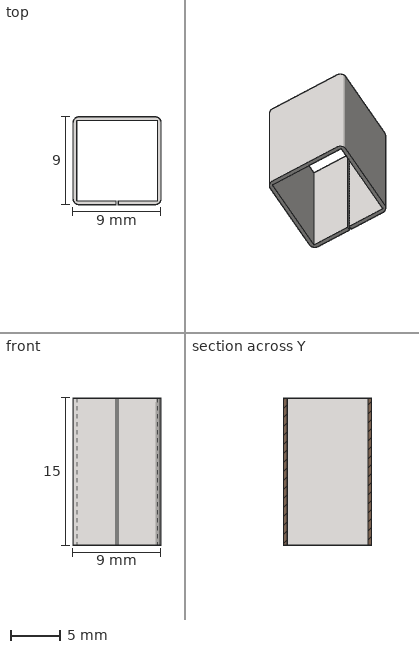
import cadquery as cq

side = 9.0
length = 15.0
wall = 0.4
corner_radius = 0.65
seam_gap = 0.2

bore_side = side - 2 * wall


def tube():
    """Square tube with rounded outer corners and sharp inner corners."""
    outer = cq.Workplane("XY").rect(side, side).extrude(length)
    outer = outer.edges("|Z").fillet(corner_radius)
    bore = cq.Workplane("XY").rect(bore_side, bore_side).extrude(length)
    return outer.cut(bore)


def seam():
    """Full-length slot through the middle of the -Y wall."""
    wall_center_y = -(side - wall) / 2
    return cq.Workplane("XY").center(0, wall_center_y).rect(seam_gap, wall).extrude(length)


result = tube().cut(seam())